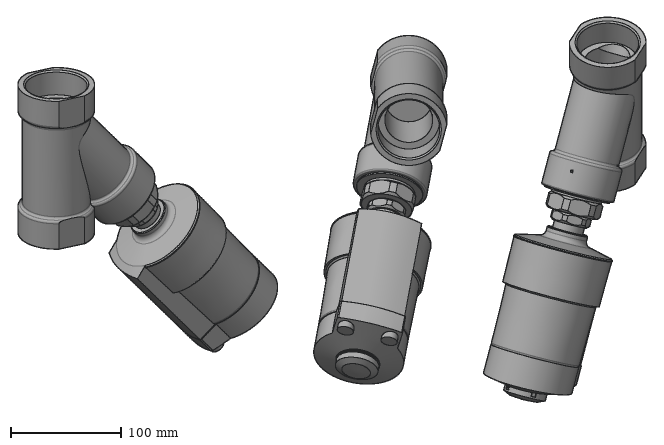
import cadquery as cq
import math

TILT = 40.0
PIPE_TOP = 43.0
PIPE_LENGTH = 149.8
PIPE_BOTTOM = PIPE_TOP - PIPE_LENGTH
PIPE_R = 31.0
PORT_R = 35.0
PORT_FLATS = 64.8
PORT_LENGTH = 25.8
STEP_LENGTH = 5.3
THREAD_R = 28.0
THREAD_DEPTH = 24.3
THREAD_CHAMFER = 1.5
PASSAGE_R = 21.7
SEAT_R = 21.7
RELIEF_R = 18.5
RELIEF_EDGE_Y = -26.5
RELIEF_LENGTH = 9.5
OUTLET_PASSAGE_TOP = -29.3

BRANCH_R = 30.0
COLLAR_R = 34.0
COLLAR_START = 79.0
COLLAR_END = 108.2
COLLAR_EDGE = 1.5
LEAK_HOLE_D = 2.5
LEAK_HOLE_STATION = 88.5
LEAK_HOLE_DEPTH = 4.5

FLANGE_R = 30.5
FLANGE_END = 109.5
WASHER_R = 23.5
LARGE_HEX_START = 112.0
LARGE_HEX_END = 127.0
LARGE_HEX_R = 25.5
SMALL_HEX_END = 137.0
SMALL_HEX_R = 18.5
HEX_FLAT_HALF_ANGLE = 22.5
HEX_HALF_SECTOR = 30.0
HEX_CHAMFER = 2.3
STEM_R = 28.5 / 2

NECK_R = 38.0 / 2
NECK_START = 143.5
NECK_CHAMFER = 1.0
NECK_FILLET_START = 148.0
NECK_FILLET_R = 24.0
NECK_FILLET_END = 153.5
RIM_START = 158.5
RIM_R = 46.3
RIM_CHAMFER = 1.2
RIM_HEIGHT = 1.0
SKIRT_TOP_R = 46.0
SKIRT_BOTTOM_R = 45.5
SKIRT_END = 203.0
SKIRT_BEVEL = 1.5
BARREL_TOP_R = 42.2
BARREL_BOTTOM_R = 41.3
HOUSING_END = 261.2
HOUSING_BEVEL_R = 40.7
HOUSING_BEVEL = 1.8
RIB_WIDTH = 59.0
RIB_EDGE = 48.0
RIB_TOP = 161.2
RIB_CROWN = 52.5

CAP_R = 41.3
CAP_RIB_WIDTH = 61.3
CAP_RIB_CHAMFER = 1.2
CAP_RIM = 286.7
CAP_SLOPE = 0.236
CAP_LEAN = 5.0
AIR_PORT_D = 15.0
AIR_PORT_X = 20.5
AIR_PORT_Y = 40.5
AIR_PORT_END = 286.0

KNOB_R = 39.3 / 2
KNOB_START = 284.3
KNOB_BASE_R = 20.2
KNOB_BASE_END = 291.0
KNOB_GROOVE_R = 18.8
KNOB_GROOVE_END = 292.2
NOTCH_WIDTH = 4.0
NOTCH_DEPTH = 1.2
NOTCH_END = 296.5
NOTCH_ANGLE = 228.0
KNOB_SHOULDER = 298.5
KNOB_FACE_R = 13.2
KNOB_FACE = 301.3
KNOB_CROWN = 302.5

RIB_REACH = 2 * RIB_CROWN
SINE = math.sin(math.radians(TILT))
COSINE = math.cos(math.radians(TILT))
INCLINED = cq.Plane(origin=(0, 0, 0), xDir=(1, 0, 0), normal=(0, SINE, -COSINE))


def on_incline(shape):
    """Move a shape built around Z onto the inclined axis."""
    return cq.Workplane(shape.val().moved(cq.Location(INCLINED)))


def cylinder(radius, start, end):
    return cq.Workplane("XY").workplane(offset=start).circle(radius).extrude(end - start)


def revolve(profile):
    """Turn a closed (radius, height) profile around Z."""
    return profile.close().revolve(360, (0, 0, 0), (0, 1, 0))


def stepped_collar(collar_r, tube_r, length):
    """Collar standing on z = 0 that runs through an S-shaped step into its tube."""
    middle_r = (collar_r + tube_r) / 2
    step_middle = length + STEP_LENGTH / 2
    step_end = length + STEP_LENGTH
    profile = (
        cq.Workplane("XZ")
        .lineTo(collar_r, 0)
        .lineTo(collar_r, length)
        .tangentArcPoint((middle_r, step_middle), relative=False)
        .tangentArcPoint((tube_r, step_end), relative=False)
        .lineTo(0, step_end)
    )
    return revolve(profile)


def pipe_port():
    """Lower pipe end: a collar with two flats."""
    collar = stepped_collar(PORT_R, PIPE_R, PORT_LENGTH)
    height = PORT_LENGTH + STEP_LENGTH
    flats = cq.Workplane("XY").box(PORT_FLATS, 2 * PORT_R, height, centered=(True, True, False))
    return collar.intersect(flats).translate((0, 0, PIPE_BOTTOM))


def thread_bore():
    """Bore of the lower port with a chamfered mouth."""
    bore = cylinder(THREAD_R, 0, THREAD_DEPTH)
    mouth = cq.Workplane("XY").circle(THREAD_R + THREAD_CHAMFER).workplane(offset=THREAD_CHAMFER)
    return bore.union(mouth.circle(THREAD_R).loft()).translate((0, 0, PIPE_BOTTOM))


def to_upper_port(lower_shape):
    """Mirror a lower port feature to the upper pipe end."""
    return lower_shape.mirror("XY", (0, 0, PIPE_TOP - PIPE_LENGTH / 2))


def seat_passage():
    """Passage from the upper thread bore to the inclined valve seat."""
    top = cq.Wire.makeCircle(PASSAGE_R, cq.Vector(0, 0, PIPE_TOP - THREAD_DEPTH), cq.Vector(0, 0, 1))
    seat = cq.Wire.makeCircle(SEAT_R, cq.Vector(0, 0, 0), INCLINED.zDir * -1)
    return cq.Workplane(cq.Solid.makeLoft([seat, top], True))


def seat_relief():
    """Inclined relief, parallel to the branch, in the floor of the upper thread bore."""
    floor_z = PIPE_TOP - THREAD_DEPTH
    edge_across = -COSINE * RELIEF_EDGE_Y - SINE * floor_z
    edge_station = SINE * RELIEF_EDGE_Y - COSINE * floor_z
    relief = cylinder(RELIEF_R, edge_station, edge_station + RELIEF_LENGTH)
    return on_incline(relief.translate((0, edge_across - RELIEF_R, 0)))


def make_valve_body():
    body = cylinder(PIPE_R, PIPE_BOTTOM, PIPE_TOP)
    body = body.union(pipe_port()).union(to_upper_port(pipe_port()))
    collar = stepped_collar(COLLAR_R, BRANCH_R, COLLAR_END - COLLAR_START)
    collar = collar.faces("<Z").edges().fillet(COLLAR_EDGE)
    collar = collar.rotate((0, 0, 0), (1, 0, 0), 180).translate((0, 0, COLLAR_END))
    branch = cylinder(BRANCH_R, 0, COLLAR_START).union(collar)
    body = body.union(on_incline(branch))
    body = body.cut(thread_bore()).cut(to_upper_port(thread_bore()))
    body = body.cut(seat_passage()).cut(seat_relief())
    body = body.cut(cylinder(PASSAGE_R, PIPE_BOTTOM, OUTLET_PASSAGE_TOP))
    leak_hole = (
        cq.Workplane("XZ", origin=(0, -COLLAR_R, LEAK_HOLE_STATION))
        .circle(LEAK_HOLE_D / 2)
        .extrude(-LEAK_HOLE_DEPTH)
    )
    return body.cut(on_incline(leak_hole))


def hex_nut(corner_r, start, end):
    """Hexagon with two flats facing along X and turned, chamfered corners."""
    flat_distance = corner_r * math.cos(math.radians(HEX_FLAT_HALF_ANGLE))
    sharp_corner_d = 2 * flat_distance / math.cos(math.radians(HEX_HALF_SECTOR))
    hexagon = (
        cq.Workplane("XY")
        .workplane(offset=start)
        .transformed(rotate=(0, 0, HEX_HALF_SECTOR))
        .polygon(6, sharp_corner_d)
        .extrude(end - start)
    )
    return hexagon.intersect(cylinder(corner_r, start, end).edges("%CIRCLE").chamfer(HEX_CHAMFER))


def make_bonnet():
    bonnet = cylinder(FLANGE_R, COLLAR_END, FLANGE_END)
    bonnet = bonnet.union(cylinder(WASHER_R, FLANGE_END, LARGE_HEX_START))
    bonnet = bonnet.union(hex_nut(LARGE_HEX_R, LARGE_HEX_START, LARGE_HEX_END))
    bonnet = bonnet.union(hex_nut(SMALL_HEX_R, LARGE_HEX_END, SMALL_HEX_END))
    return on_incline(bonnet.union(cylinder(STEM_R, SMALL_HEX_END, NECK_START)))


def rib(width, start, end):
    """Rib from the axis to a crowned outer face."""
    half = width / 2
    return (
        cq.Workplane("XY")
        .workplane(offset=start)
        .moveTo(-half, 0)
        .lineTo(-half, RIB_EDGE)
        .threePointArc((0, RIB_CROWN), (half, RIB_EDGE))
        .lineTo(half, 0)
        .close()
        .extrude(end - start)
    )


def housing_top():
    """Neck, conical shoulder and the steeper cone that ends the rib."""
    shoulder_r = RIM_R - RIM_CHAMFER
    rib_slope = (RIB_TOP - RIM_START) / (RIB_CROWN - shoulder_r)
    profile = (
        cq.Workplane("XZ")
        .moveTo(0, NECK_START)
        .lineTo(NECK_R - NECK_CHAMFER, NECK_START)
        .lineTo(NECK_R, NECK_START + NECK_CHAMFER)
        .lineTo(NECK_R, NECK_FILLET_START)
        .tangentArcPoint((NECK_FILLET_R, NECK_FILLET_END), relative=False)
        .lineTo(shoulder_r, RIM_START)
        .lineTo(RIB_REACH, RIM_START + rib_slope * (RIB_REACH - shoulder_r))
        .lineTo(RIB_REACH, HOUSING_END)
        .lineTo(0, HOUSING_END)
    )
    return revolve(profile)


def housing_barrel():
    """Round outside of the housing: rim, skirt and barrel, both slightly tapered."""
    rim_end = RIM_START + RIM_CHAMFER + RIM_HEIGHT
    profile = (
        cq.Workplane("XZ")
        .moveTo(0, NECK_START)
        .lineTo(RIM_R - RIM_CHAMFER, NECK_START)
        .lineTo(RIM_R - RIM_CHAMFER, RIM_START)
        .lineTo(RIM_R, RIM_START + RIM_CHAMFER)
        .lineTo(RIM_R, rim_end)
        .lineTo(SKIRT_TOP_R, rim_end)
        .lineTo(SKIRT_BOTTOM_R, SKIRT_END)
        .lineTo(BARREL_TOP_R + SKIRT_BEVEL, SKIRT_END)
        .lineTo(BARREL_TOP_R, SKIRT_END + SKIRT_BEVEL)
        .lineTo(BARREL_BOTTOM_R, HOUSING_END - HOUSING_BEVEL)
        .lineTo(HOUSING_BEVEL_R, HOUSING_END)
        .lineTo(0, HOUSING_END)
    )
    return revolve(profile)


def make_actuator_housing():
    outside = housing_barrel().union(rib(RIB_WIDTH, NECK_FILLET_END, HOUSING_END))
    return on_incline(outside.intersect(housing_top()))


def cap_end_cone():
    """Body under the cap's leaning conical end face."""
    profile = (
        cq.Workplane("XZ")
        .moveTo(0, -CAP_RIM)
        .lineTo(RIB_REACH, -CAP_RIM)
        .lineTo(RIB_REACH, CAP_SLOPE * (CAP_R - RIB_REACH))
        .lineTo(0, CAP_SLOPE * CAP_R)
    )
    return revolve(profile).rotate((0, 0, 0), (1, 0, 0), -CAP_LEAN).translate((0, 0, CAP_RIM))


def make_cap():
    cap_rib = rib(CAP_RIB_WIDTH, HOUSING_END, KNOB_CROWN)
    cap_rib = cap_rib.edges("|Z").edges(">Y").chamfer(CAP_RIB_CHAMFER)
    cap = cylinder(CAP_R, HOUSING_END, KNOB_CROWN).union(cap_rib).intersect(cap_end_cone())
    for x in (-AIR_PORT_X, AIR_PORT_X):
        cap = cap.union(cylinder(AIR_PORT_D / 2, HOUSING_END, AIR_PORT_END).translate((x, AIR_PORT_Y, 0)))
    return on_incline(cap.cut(cylinder(KNOB_BASE_R, KNOB_START, KNOB_CROWN)))


def make_knob():
    """Knob seated in the cap: base, groove, two side notches, bevelled edge and crowned face."""
    profile = (
        cq.Workplane("XZ")
        .moveTo(0, KNOB_START)
        .lineTo(KNOB_BASE_R, KNOB_START)
        .lineTo(KNOB_BASE_R, KNOB_BASE_END)
        .lineTo(KNOB_GROOVE_R, KNOB_BASE_END)
        .lineTo(KNOB_GROOVE_R, KNOB_GROOVE_END)
        .lineTo(KNOB_R, KNOB_GROOVE_END)
        .lineTo(KNOB_R, KNOB_SHOULDER)
        .lineTo(KNOB_FACE_R, KNOB_FACE)
        .lineTo(0, KNOB_CROWN)
    )
    knob = revolve(profile)
    for angle in (NOTCH_ANGLE, 180 - NOTCH_ANGLE):
        notch = (
            cq.Workplane("XY", origin=(KNOB_R, 0, KNOB_GROOVE_END))
            .box(2 * NOTCH_DEPTH, NOTCH_WIDTH, NOTCH_END - KNOB_GROOVE_END, centered=(True, True, False))
        )
        knob = knob.cut(notch.rotate((0, 0, 0), (0, 0, 1), angle))
    return on_incline(knob)


valve_body = make_valve_body()
bonnet = make_bonnet()
actuator_housing = make_actuator_housing()
cap = make_cap()
knob = make_knob()

result = cq.Compound.makeCompound(
    [valve_body.val(), bonnet.val(), actuator_housing.val(), cap.val(), knob.val()]
)